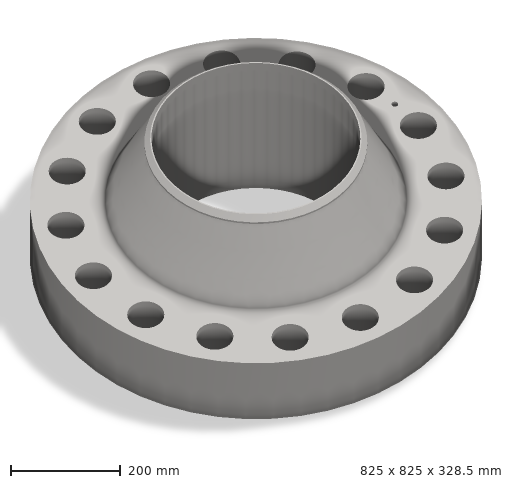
import cadquery as cq
import math

flange_diameter = 825.0
flange_thickness = 147.0
face_diameter = 546.0
face_height = 17.0
overall_height = 328.5

hub_base_diameter = 553.0
hub_base_fillet = 4.0
hub_end_diameter = 407.0
hub_end_land = 4.0
bore_diameter = 381.0
weld_root_width = 2.5
weld_bevel_height = 11.0

bolt_count = 16
bolt_circle_diameter = 705.0
bolt_hole_diameter = 68.0

pin_hole_diameter = 12.0
pin_hole_depth = 25.0

flange_radius = flange_diameter / 2
face_radius = face_diameter / 2
hub_base_radius = hub_base_diameter / 2
hub_end_radius = hub_end_diameter / 2
bore_radius = bore_diameter / 2
bolt_circle_radius = bolt_circle_diameter / 2
bolt_spacing = 360 / bolt_count
pin_hole_angle = 90 + bolt_spacing / 2
weld_end_height = overall_height - face_height
bevel_start = weld_end_height - weld_bevel_height


def make_body():
    """Revolve the raised face, disc, tapered hub and weld end; fillet the hub into the disc."""
    section = [
        (bore_radius, -face_height),
        (face_radius, -face_height),
        (face_radius, 0),
        (flange_radius, 0),
        (flange_radius, flange_thickness),
        (hub_base_radius, flange_thickness),
        (hub_end_radius, bevel_start - hub_end_land),
        (hub_end_radius, bevel_start),
        (bore_radius + weld_root_width, weld_end_height),
        (bore_radius, weld_end_height),
    ]
    body = cq.Workplane("XZ").polyline(section).close().revolve(360, (0, 0), (0, 1))
    hub_base_edge = body.edges("%CIRCLE").filter(
        lambda edge: math.isclose(edge.radius(), hub_base_radius)
    )
    return hub_base_edge.fillet(hub_base_fillet)


def make_bolt_holes():
    """Through holes evenly spaced on the bolt circle, the first one on the X axis."""
    return (
        cq.Workplane("XY")
        .polarArray(bolt_circle_radius, 0, 360, bolt_count)
        .circle(bolt_hole_diameter / 2)
        .extrude(flange_thickness)
    )


def make_pin_hole():
    """Blind hole on the bolt circle, drilled down from the top of the flange."""
    angle = math.radians(pin_hole_angle)
    return (
        cq.Workplane("XY", origin=(0, 0, flange_thickness))
        .center(bolt_circle_radius * math.cos(angle), bolt_circle_radius * math.sin(angle))
        .circle(pin_hole_diameter / 2)
        .extrude(-pin_hole_depth)
    )


result = make_body().cut(make_bolt_holes()).cut(make_pin_hole())